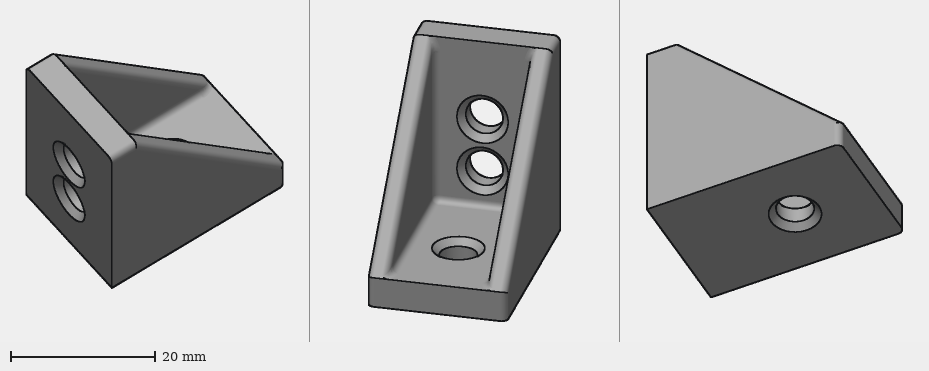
import cadquery as cq

width = 20.0
length = 30.0
wall = 4.5
side_wall = 3.0
edge_radius = 1.0

hole_diameter = 5.3
countersink_diameter = 7.35
countersink_depth = (countersink_diameter - hole_diameter) / 2
lower_hole_offset = 10.0
upper_hole_offset = 18.0

half_width = width / 2
half_pocket = half_width - side_wall
half_rim = half_pocket + edge_radius
slope_middle = (length + wall) / 2
tolerance = 0.003


def make_wedge():
    """Triangular block with a short flat at each end of its 45 degree slope."""
    outline = [(0, 0), (length, 0), (length, wall), (wall, length), (0, length)]
    return cq.Workplane("YZ").polyline(outline).close().extrude(half_width, both=True)


def round_outer_edges(body):
    """Round both long sides along the top, the slope and the far end."""
    for side in (">X", "<X"):
        body = body.faces(side).edges("not(<Y or <Z)").fillet(edge_radius)
    return body


def make_pocket():
    """Triangular space above the floor, flaring out to rounded rims along the slope."""
    outline = [(wall, wall), (length, wall), (wall, length)]
    pocket = cq.Workplane("YZ").polyline(outline).close().extrude(half_pocket, both=True)

    section_plane = cq.Plane(origin=(0, slope_middle, slope_middle), xDir=(1, 0, 0), normal=(0, 1, -1))
    rim_section = (
        cq.Workplane(section_plane)
        .moveTo(-half_pocket, edge_radius)
        .radiusArc((-half_rim, 0), edge_radius)
        .lineTo(half_rim, 0)
        .radiusArc((half_pocket, edge_radius), edge_radius)
        .close()
    )
    inside_walls = cq.Workplane("XY").box(width, length, length, centered=(True, False, False))
    inside_walls = inside_walls.translate((0, wall, wall))
    rim = rim_section.extrude(length, both=True).intersect(inside_walls)
    return pocket.union(rim)


def round_pocket(body):
    """Round every inside corner of the pocket, following the curve of the rims."""
    pocket_corners = cq.selectors.BoxSelector(
        (-half_rim, wall - tolerance, wall - tolerance),
        (half_rim, length - tolerance, wall + tolerance),
    ) + cq.selectors.BoxSelector(
        (-half_rim, wall - tolerance, wall + tolerance),
        (half_rim, wall + tolerance, length - tolerance),
    )
    return body.edges(pocket_corners).fillet(edge_radius)


def make_hole():
    """Cutter along Z for a wall spanning 0 to its thickness, countersunk at both ends."""
    bore_radius = hole_diameter / 2
    sink_radius = countersink_diameter / 2
    half_section = [
        (0, 0),
        (sink_radius, 0),
        (bore_radius, countersink_depth),
        (bore_radius, wall - countersink_depth),
        (sink_radius, wall),
        (0, wall),
    ]
    return cq.Workplane("XZ").polyline(half_section).close().revolve(360, (0, 0), (0, 1))


result = make_wedge()
result = round_outer_edges(result)
result = result.cut(make_pocket())
result = round_pocket(result)

for height in (lower_hole_offset, upper_hole_offset):
    back_hole = make_hole().rotate((0, 0, 0), (1, 0, 0), -90).translate((0, 0, height))
    result = result.cut(back_hole)
result = result.cut(make_hole().translate((0, upper_hole_offset, 0)))